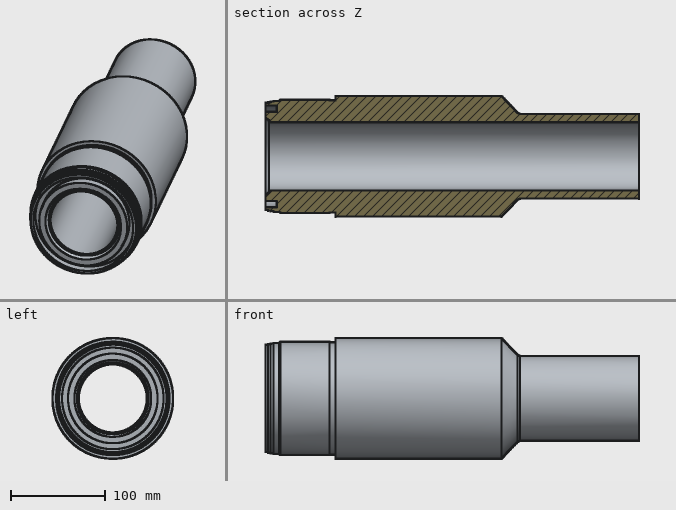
import cadquery as cq

total_length = 393.7
nose_length = 14.5
collar_start = 15.7
collar_end = 67.7
body_start = 73.5
body_end = 249.0
cone_end = 265.7
tail_start = 268.0

body_radius = 63.8
collar_radius = 60.0
neck_radius = 59.5
nose_radius = 58.5
rim_radius = 56.5
cone_end_radius = 46.0
tail_radius = 45.0

band_count = 3
band_length = 2.8
band_rise = (nose_radius - rim_radius) / band_count

bore_radius = 36.0
throat_radius = 37.8
mouth_radius = 40.5
mouth_depth = 4.0

groove_inner_radius = 47.2
groove_outer_radius = 53.5
groove_depth = 12.0


def make_outer_body():
    """Revolve the stepped outer outline around the X axis."""
    outline = cq.Workplane("XY").moveTo(0, 0).lineTo(0, rim_radius)
    for band in range(1, band_count + 1):
        step_position = band * band_length
        outline = outline.lineTo(step_position, rim_radius + (band - 1) * band_rise)
        outline = outline.lineTo(step_position, rim_radius + band * band_rise)
    outline = (
        outline.lineTo(nose_length, nose_radius)
        .lineTo(collar_start, collar_radius)
        .lineTo(collar_end, collar_radius)
        .lineTo(collar_end, neck_radius)
        .lineTo(body_start, neck_radius)
        .lineTo(body_start, body_radius)
        .lineTo(body_end, body_radius)
        .lineTo(cone_end, cone_end_radius)
        .lineTo(tail_start, tail_radius)
        .lineTo(total_length, tail_radius)
        .lineTo(total_length, 0)
        .close()
    )
    return outline.revolve(360, (0, 0, 0), (1, 0, 0))


def make_bore():
    """Through bore with a wide mouth tapering to a throat wider than the bore."""
    outline = (
        cq.Workplane("XY")
        .moveTo(0, 0)
        .lineTo(0, mouth_radius)
        .lineTo(mouth_depth, throat_radius)
        .lineTo(mouth_depth, bore_radius)
        .lineTo(total_length, bore_radius)
        .lineTo(total_length, 0)
        .close()
    )
    return outline.revolve(360, (0, 0, 0), (1, 0, 0))


def make_groove():
    """Ring-shaped recess cut into the socket end face."""
    return (
        cq.Workplane("YZ")
        .circle(groove_outer_radius)
        .circle(groove_inner_radius)
        .extrude(groove_depth)
    )


result = make_outer_body().cut(make_bore()).cut(make_groove())